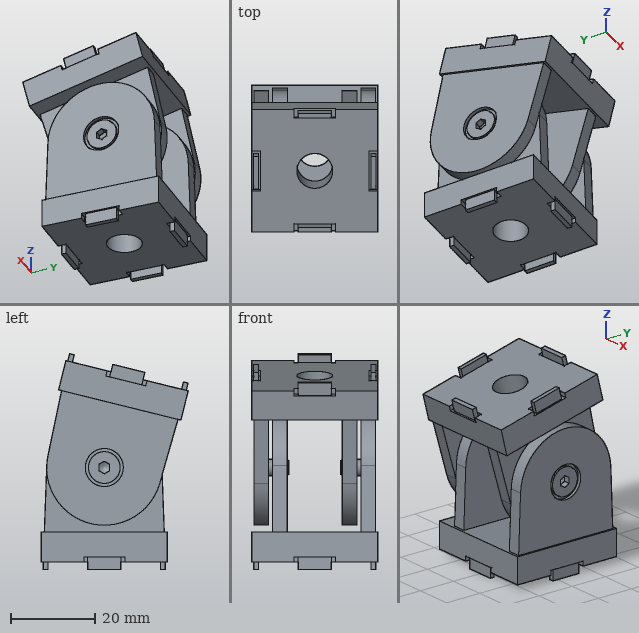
import cadquery as cq
import math

tilt_angle = 13.9

plate_width = 29.9
plate_thickness = 7.15
plate_height = 15.25
plate_hole_diameter = 8.5

notch_length = 9.75
notch_width = 2.05
notch_depth = 1.3
tab_length = 7.9
tab_thickness = 1.2
tab_inset = 0.45
tab_projection = 1.8

ear_thickness = 3.55
ear_radius = 13.7
ear_half_width = 14.25
outer_ear_x = -14.45
inner_ear_x = 6.5

shank_diameter = 4.0
tip_diameter = 3.25
tip_projection = 0.35
head_diameter = 7.55
head_sink = 0.3
head_recess_diameter = 9.0
recess_depth = 0.9
socket_flats = 2.55
socket_depth = 1.75
socket_point_angle = 120.0

head_height = recess_depth - head_sink
plate_outer_z = plate_height + plate_thickness
screw_end_x = tip_projection - inner_ear_x


def box(x_size, y_size, z_size, center_x, center_y, bottom_z):
    return (
        cq.Workplane("XY")
        .box(x_size, y_size, z_size, centered=(True, True, False))
        .translate((center_x, center_y, bottom_z))
    )


def x_cylinder(diameter, start_x, length):
    return cq.Workplane("YZ").workplane(offset=start_x).circle(diameter / 2).extrude(length)


def make_plate():
    """Square plate with a central hole and a notched latch tab on each side."""
    plate = box(plate_width, plate_width, plate_thickness, 0, 0, plate_height)
    plate = plate.cut(
        cq.Workplane("XY")
        .workplane(offset=plate_height)
        .circle(plate_hole_diameter / 2)
        .extrude(plate_thickness)
    )
    floor_z = plate_outer_z - notch_depth
    notch_x = plate_width / 2 - notch_width / 2
    tab_x = plate_width / 2 - tab_inset - tab_thickness / 2
    notch = box(notch_width, notch_length, notch_depth, notch_x, 0, floor_z)
    tab = box(tab_thickness, tab_length, notch_depth + tab_projection, tab_x, 0, floor_z)
    for quarter_turn in range(4):
        turn = ((0, 0, 0), (0, 0, 1), 90 * quarter_turn)
        plate = plate.cut(notch.rotate(*turn)).union(tab.rotate(*turn))
    return plate


def make_ear(start_x):
    """Ear whose straight sides run tangent into a round end about the pivot axis."""
    corner_distance = math.hypot(ear_half_width, plate_height)
    tangent_angle = math.atan2(plate_height, ear_half_width) - math.acos(ear_radius / corner_distance)
    tangent_y = ear_radius * math.cos(tangent_angle)
    tangent_z = ear_radius * math.sin(tangent_angle)
    return (
        cq.Workplane("YZ")
        .workplane(offset=start_x)
        .moveTo(-ear_half_width, plate_height)
        .lineTo(-tangent_y, tangent_z)
        .threePointArc((0, -ear_radius), (tangent_y, tangent_z))
        .lineTo(ear_half_width, plate_height)
        .close()
        .extrude(ear_thickness)
    )


def make_bracket():
    """Bracket with its plate above the pivot axis and its outer ear on the -X side."""
    bracket = make_plate().union(make_ear(outer_ear_x)).union(make_ear(inner_ear_x))
    head_recess = x_cylinder(head_recess_diameter, outer_ear_x, recess_depth)
    outer_hole = x_cylinder(shank_diameter, outer_ear_x, ear_thickness)
    inner_hole = x_cylinder(shank_diameter, inner_ear_x, ear_thickness)
    return bracket.cut(head_recess).cut(outer_hole).cut(inner_hole)


def make_screw():
    """Socket screw on the pivot axis with its head in the outer ear on the -X side."""
    head_x = outer_ear_x + head_sink
    tip_chamfer = (shank_diameter - tip_diameter) / 2
    shank = (
        x_cylinder(shank_diameter, head_x, screw_end_x - head_x)
        .faces(">X")
        .chamfer(tip_chamfer)
    )
    screw = x_cylinder(head_diameter, head_x, head_height).union(shank)
    return screw.cut(make_socket(head_x))


def make_socket(head_x):
    """Hexagonal socket, its corners up and down, ending in a cone."""
    corner_radius = socket_flats / math.sqrt(3)
    cone_depth = corner_radius / math.tan(math.radians(socket_point_angle / 2))
    hexagon = (
        cq.Workplane("YZ")
        .workplane(offset=head_x)
        .polygon(6, 2 * corner_radius)
        .extrude(socket_depth + cone_depth)
        .rotate((0, 0, 0), (1, 0, 0), 90)
    )
    drilled_hole = (
        cq.Workplane("XY")
        .moveTo(head_x, 0)
        .lineTo(head_x, corner_radius)
        .lineTo(head_x + socket_depth, corner_radius)
        .lineTo(head_x + socket_depth + cone_depth, 0)
        .close()
        .revolve(360, (0, 0, 0), (1, 0, 0))
    )
    return hexagon.intersect(drilled_hole)


upper_bracket = make_bracket().rotate((0, 0, 0), (1, 0, 0), tilt_angle)
lower_bracket = make_bracket().rotate((0, 0, 0), (0, 1, 0), 180)

screws = [make_screw().rotate((0, 0, 0), (0, 1, 0), turn) for turn in (0, 180)]

result = cq.Compound.makeCompound(
    [upper_bracket.val(), lower_bracket.val(), *[screw.val() for screw in screws]]
)